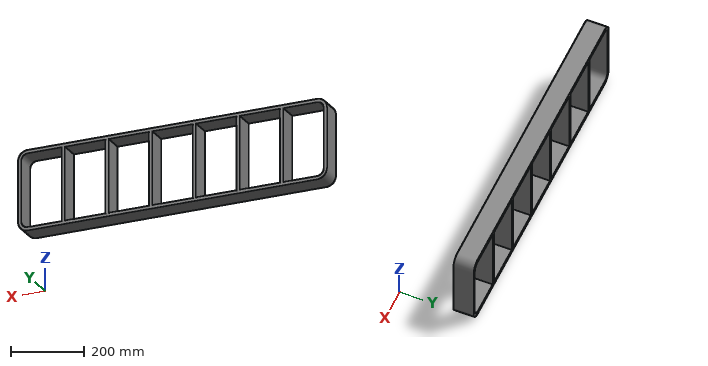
import cadquery as cq

length = 923.5
depth = 60.0
height = 238.0
wall = 10.0
outer_radius = 30.0
inner_radius = outer_radius - wall

opening_count = 7
bar_thickness = 10.0
bar_count = opening_count - 1
inner_length = length - 2 * wall
inner_height = height - 2 * wall
opening_width = (inner_length - bar_count * bar_thickness) / opening_count
bar_pitch = opening_width + bar_thickness


def rounded_block(block_length, block_height, radius):
    """Centred block with its four edges along Y rounded."""
    return cq.Workplane("XY").box(block_length, depth, block_height).edges("|Y").fillet(radius)


def make_bar(index):
    """Upright bar, reaching halfway into the top and bottom walls."""
    x = (index - (bar_count - 1) / 2) * bar_pitch
    bar_height = inner_height + wall
    return cq.Workplane("XY").box(bar_thickness, depth, bar_height).translate((x, 0, 0))


outer = rounded_block(length, height, outer_radius)
inner = rounded_block(inner_length, inner_height, inner_radius)
result = outer.cut(inner)
for bar_index in range(bar_count):
    result = result.union(make_bar(bar_index))
result = result.clean()